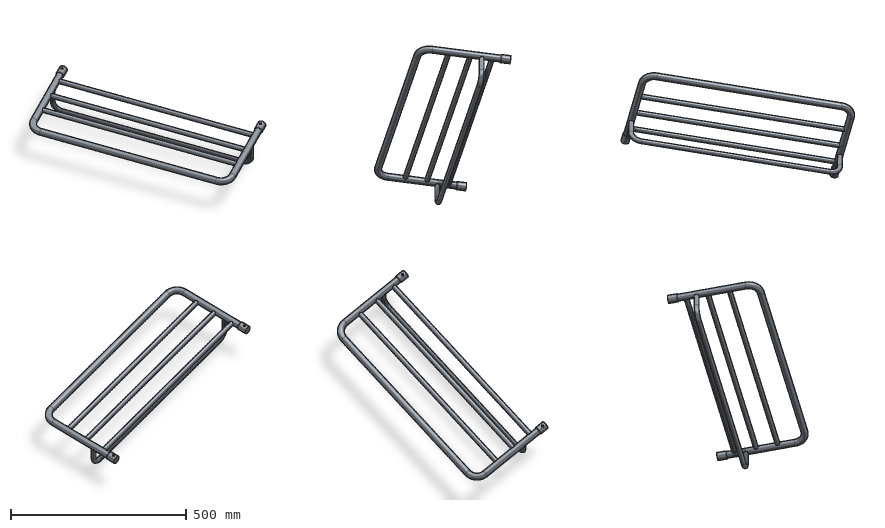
import cadquery as cq
import math

side_spacing = 609.6
frame_diameter = 20.0
frame_depth = 262.9
frame_bend_radius = 35.0

socket_diameter = 24.0
socket_length = 28.0
socket_edge_radius = 2.0
screw_hole_diameter = 6.0
screw_hole_depth = 5.0
screw_hole_setback = 11.0

rail_diameter = 14.0
rail_count = 3
first_rail_setback = 51.3
rail_pitch = 63.3

towel_bar_diameter = 14.0
towel_bar_setback = 83.0
towel_bar_drop = 83.0
towel_bar_bend_radius = 30.0

half_spacing = side_spacing / 2


def bent_tube(plane, depth, bend_radius, diameter):
    """Round bar along a U: down one side, across and up the other side."""
    corner = bend_radius * (1 - math.cos(math.pi / 4))
    path = (
        cq.Workplane(plane)
        .moveTo(-half_spacing, 0)
        .lineTo(-half_spacing, -depth + bend_radius)
        .threePointArc(
            (-half_spacing + corner, -depth + corner),
            (-half_spacing + bend_radius, -depth),
        )
        .lineTo(half_spacing - bend_radius, -depth)
        .threePointArc(
            (half_spacing - corner, -depth + corner),
            (half_spacing, -depth + bend_radius),
        )
        .lineTo(half_spacing, 0)
    )
    start = cq.Plane(
        origin=plane.toWorldCoords((-half_spacing, 0)),
        xDir=plane.xDir,
        normal=plane.yDir * -1,
    )
    return cq.Workplane(start).circle(diameter / 2).sweep(path)


def shelf_rail(setback):
    """Straight rail running from one side tube axis to the other."""
    return (
        cq.Workplane("YZ", origin=(-half_spacing, -setback, 0))
        .circle(rail_diameter / 2)
        .extrude(side_spacing)
    )


def wall_socket(x):
    """Round socket with a rounded front edge."""
    return (
        cq.Workplane("XZ", origin=(x, 0, 0))
        .circle(socket_diameter / 2)
        .extrude(socket_length)
        .faces("<Y")
        .edges()
        .fillet(socket_edge_radius)
    )


def screw_hole(x):
    """Blind set screw hole going down from the top of a socket."""
    return (
        cq.Workplane("XY", origin=(x, -screw_hole_setback, socket_diameter / 2))
        .circle(screw_hole_diameter / 2)
        .extrude(-screw_hole_depth)
    )


result = bent_tube(cq.Plane.XY(), frame_depth, frame_bend_radius, frame_diameter)

towel_bar_plane = cq.Plane(origin=(0, -towel_bar_setback, 0), xDir=(1, 0, 0), normal=(0, -1, 0))
result = result.union(
    bent_tube(towel_bar_plane, towel_bar_drop, towel_bar_bend_radius, towel_bar_diameter)
)

for rail in range(rail_count):
    result = result.union(shelf_rail(first_rail_setback + rail * rail_pitch))

for socket_x in (-half_spacing, half_spacing):
    result = result.union(wall_socket(socket_x)).cut(screw_hole(socket_x))